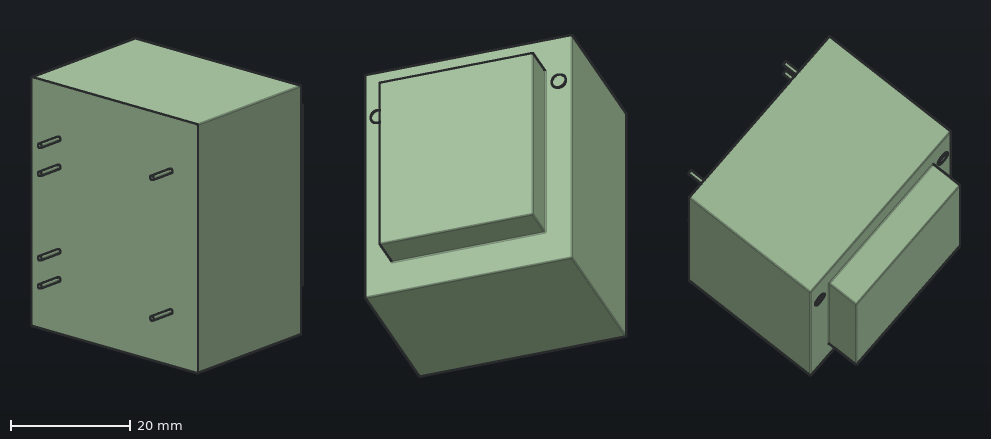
import cadquery as cq


case_width = 37.1
case_height = 44.3
pin_length = 4.8
pad_height = 6.0
overall_depth = 37.3
case_depth = overall_depth - pin_length - pad_height
case_edge_radius = 0.2

pad_width = 27.5
pad_length = 32.1
pad_edge_radius = 0.2
pad_root_radius = 0.2

pin_diameter = 0.8
pin_column = 12.5
outer_pin_row = 12.5
inner_pin_row = 7.5
pin_positions = [
    (-pin_column, outer_pin_row),
    (-pin_column, inner_pin_row),
    (-pin_column, -inner_pin_row),
    (-pin_column, -outer_pin_row),
    (pin_column, outer_pin_row),
    (pin_column, -outer_pin_row),
]

mark_diameter = 2.5
mark_offset = 16.2
mark_level = 13.3
left_mark_height = 0.22
right_mark_height = 0.15

overlap = 1.0


def cylinder_along_y(x, z, diameter, start_y, end_y):
    """Round bar at (x, z), running from start_y up to end_y."""
    axis = cq.Vector(0, 1, 0)
    base = cq.Vector(x, start_y, z)
    return cq.Workplane(cq.Solid.makeCylinder(diameter / 2, end_y - start_y, base, axis))


def make_case():
    """Block with every edge rounded except those of the pin face."""
    block = cq.Workplane("XY").box(
        case_width, case_depth, case_height, centered=(True, False, True)
    )
    return block.edges("|Y or >Y").fillet(case_edge_radius)


def add_pad(body):
    """Rounded pad on the back face, blended into the case at its root."""
    pad = (
        cq.Workplane("XY")
        .box(pad_width, pad_height + overlap, pad_length, centered=(True, False, True))
        .translate((0, case_depth - overlap, 0))
        .edges("|Y or >Y")
        .fillet(pad_edge_radius)
    )
    body = body.union(pad)
    root_box = cq.selectors.BoxSelector(
        (-pad_width / 2 - overlap, case_depth - pad_root_radius / 2, -pad_length / 2 - overlap),
        (pad_width / 2 + overlap, case_depth + pad_root_radius / 2, pad_length / 2 + overlap),
    )
    return body.edges(root_box).fillet(pad_root_radius)


def add_marks(body):
    """Two low round marks in the upper half, one on each side of the pad."""
    for x, height in ((-mark_offset, left_mark_height), (mark_offset, right_mark_height)):
        mark = cylinder_along_y(x, mark_level, mark_diameter, case_depth - overlap, case_depth + height)
        body = body.union(mark)
    return body


def add_pins(body):
    """Straight round pins standing out of the pin face."""
    for x, z in pin_positions:
        body = body.union(cylinder_along_y(x, z, pin_diameter, -pin_length, overlap))
    return body


result = add_pins(add_marks(add_pad(make_case())))